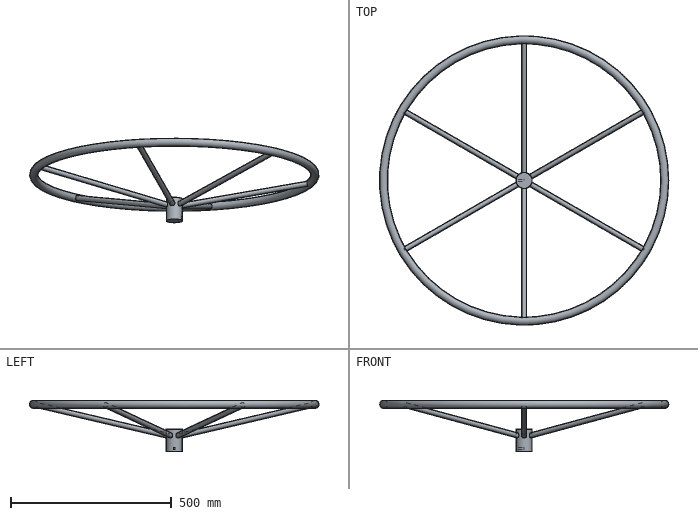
import cadquery as cq
import math

outer_diameter = 900.0
rim_bar_diameter = 25.0
rim_radius = (outer_diameter - rim_bar_diameter) / 2

total_height = 160.0
rim_height = total_height - rim_bar_diameter / 2

hub_diameter = 50.0
hub_height = 70.0

spoke_count = 6
spoke_diameter = 16.0
first_spoke_angle = 90.0
spoke_start_radius = hub_diameter / 4
spoke_hub_height = 51.0

screw_hole_diameter = 6.0
screw_hole_height = 10.0
screw_hole_depth = hub_diameter / 2


def make_rim():
    bar_section = cq.Workplane("XZ").center(rim_radius, rim_height).circle(rim_bar_diameter / 2)
    to_axis = -rim_radius
    return bar_section.revolve(360, (to_axis, 0), (to_axis, 1))


def make_hub():
    return cq.Workplane("XY").circle(hub_diameter / 2).extrude(hub_height)


def make_spoke(angle):
    """Spoke in the vertical plane turned by angle from +X, with its inner end inside the hub."""
    slope = (rim_height - spoke_hub_height) / (rim_radius - hub_diameter / 2)
    run = rim_radius - spoke_start_radius
    rise = slope * run
    start = cq.Vector(spoke_start_radius, 0, rim_height - rise)
    spoke = cq.Solid.makeCylinder(
        spoke_diameter / 2, math.hypot(run, rise), start, cq.Vector(run, 0, rise)
    )
    return cq.Workplane(spoke).rotate((0, 0, 0), (0, 0, 1), angle)


def make_screw_hole():
    entry = cq.Vector(-hub_diameter / 2, 0, screw_hole_height)
    hole = cq.Solid.makeCylinder(screw_hole_diameter / 2, screw_hole_depth, entry, cq.Vector(1, 0, 0))
    return cq.Workplane(hole)


rim = make_rim()
wheel = make_hub()
for index in range(spoke_count):
    spoke = make_spoke(first_spoke_angle + index * 360 / spoke_count)
    wheel = wheel.union(spoke.cut(rim))
wheel = wheel.union(rim)

result = wheel.cut(make_screw_hole())